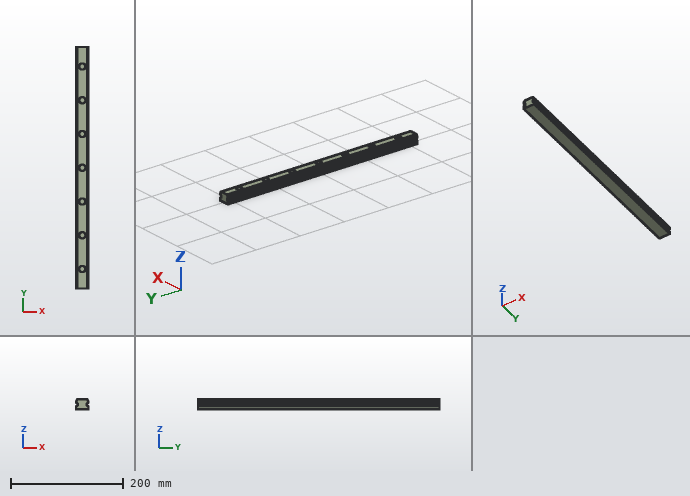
import cadquery as cq

length = 430.0
width = 23.0
height = 18.0
side_x = width / 2

base_side_height = 4.7
base_chamfer = 1.08
base_top_z = base_side_height + base_chamfer
waist_slope = 1.95

waist_x = side_x - 3.22
waist_bottom_z = base_top_z + waist_slope
waist_top_z = waist_bottom_z + 1.95

nose_height = 1.5
nose_chamfer = 1.0
nose_top_z = 13.8
nose_bottom_z = nose_top_z - nose_height
nose_edge_x = side_x - nose_chamfer
upper_groove_sag = 0.3
lower_groove_sag = 0.5

head_x = side_x - 1.95
head_chamfer = 1.08

hole_count = 7
end_to_hole = 35.0
hole_pitch = (length - 2 * end_to_hole) / (hole_count - 1)
plug_diameter = 11.0
plug_recess = 0.2


def make_half_rail():
    """Extrude the +X half of the rail section along Y."""
    section = (
        cq.Workplane("XZ")
        .lineTo(side_x, 0)
        .lineTo(side_x, base_side_height)
        .lineTo(side_x - base_chamfer, base_top_z)
        .lineTo(waist_x + waist_slope, base_top_z)
        .lineTo(waist_x, waist_bottom_z)
        .lineTo(waist_x, waist_top_z)
        .sagittaArc((nose_edge_x, nose_bottom_z - nose_chamfer), lower_groove_sag)
        .lineTo(side_x, nose_bottom_z)
        .lineTo(side_x, nose_top_z)
        .lineTo(nose_edge_x, nose_top_z + nose_chamfer)
        .sagittaArc((head_x, height - head_chamfer), upper_groove_sag)
        .lineTo(head_x - head_chamfer, height)
        .lineTo(0, height)
        .close()
    )
    return section.extrude(length / 2, both=True)


def make_plug_recesses():
    """Shallow discs over the hole plugs, just below the top face."""
    top = cq.Workplane("XY").workplane(offset=height)
    return top.rarray(4.5, hole_pitch, 1, hole_count).circle(plug_diameter / 2).extrude(-plug_recess)


half_rail = make_half_rail()
rail = half_rail.union(half_rail.mirror("YZ")).clean()
result = rail.cut(make_plug_recesses())